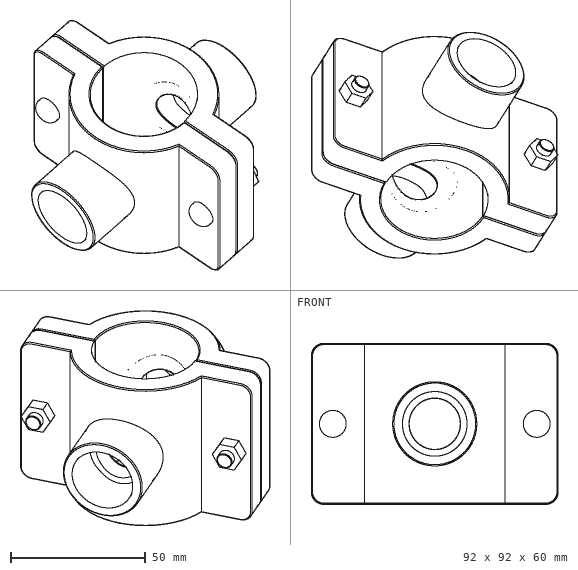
import cadquery as cq
CLAMP_WIDTH = 92.0
CLAMP_HEIGHT = 60.0
COLLAR_DIA = 55.9
BORE_DIA = 40.0
FLANGE_THICKNESS = 10.0
CORNER_RADIUS = 4.6
EDGE_CHAMFER = 0.5

NOZZLE_REACH = 46.0
NOZZLE_DIA = 31.4
NOZZLE_BORE_DIA = 24.1
NOZZLE_BORE_DEPTH = 19.0
PORT_DIA = 19.0
SKIN_THICKNESS = 0.5

BOLT_SPACING = 76.0
BOLT_DIA = 6.0
HEAD_DIA = 10.0
HEAD_HEIGHT = 4.0
HEAD_ROUNDING = 2.9
NUT_ACROSS_FLATS = 10.0
NUT_THICKNESS = 5.0
BOLT_PROTRUSION = 2.85
BOLT_TIP_CHAMFER = 0.3

HEX_CORNERS_PER_FLATS = 2 / 3**0.5


def y_cylinder(diameter, y_start, y_end, x=0.0):
    """Cylinder along Y between two Y positions, centred on Z = 0."""
    return (
        cq.Workplane("XZ", origin=(x, y_start, 0))
        .circle(diameter / 2)
        .extrude(y_start - y_end)
    )


def z_cylinder(diameter):
    """Cylinder about the Z axis, as tall as the clamp."""
    return cq.Workplane("XY", origin=(0, 0, -CLAMP_HEIGHT / 2)).circle(diameter / 2).extrude(CLAMP_HEIGHT)


def clamp_half(side, chamfer_bore):
    """Half of the collar and flanges on one side (+1 or -1) of the parting plane Y = 0."""
    flange = (
        cq.Workplane("XY")
        .box(CLAMP_WIDTH, FLANGE_THICKNESS, CLAMP_HEIGHT)
        .translate((0, side * FLANGE_THICKNESS / 2, 0))
        .edges("|Y")
        .fillet(CORNER_RADIUS)
    )
    half_space = (
        cq.Workplane("XY")
        .box(CLAMP_WIDTH, COLLAR_DIA, CLAMP_HEIGHT)
        .translate((0, side * COLLAR_DIA / 2, 0))
    )
    half = z_cylinder(COLLAR_DIA).intersect(half_space).union(flange)

    half = (
        half.faces("|Z or |Y")
        .edges("(not |Y) and ((not |Z) or <X or >X)")
        .chamfer(EDGE_CHAMFER)
        .cut(z_cylinder(BORE_DIA))
    )
    if chamfer_bore:
        bore_wall = half.faces(cq.NearestToPointSelector((0, 0, 0)))
        half = bore_wall.edges().chamfer(EDGE_CHAMFER)
    return half


def nozzle_blank(side):
    """Solid cylinder on one side, rooted on a curved face just outside the main bore."""
    blank = y_cylinder(NOZZLE_DIA, 0, side * NOZZLE_REACH)
    return blank.cut(z_cylinder(BORE_DIA + 2 * SKIN_THICKNESS))


def make_port():
    """Hole through the whole part along Y."""
    return y_cylinder(PORT_DIA, -NOZZLE_REACH, NOZZLE_REACH)


def make_nozzle(side):
    """Nozzle on one side (+1 or -1); the collar's round surface continues across its bore floor."""
    floor_y = side * (NOZZLE_REACH - NOZZLE_BORE_DEPTH)
    bore = y_cylinder(NOZZLE_BORE_DIA, floor_y, side * NOZZLE_REACH).cut(z_cylinder(COLLAR_DIA))
    tip = ">Y" if side > 0 else "<Y"
    return nozzle_blank(side).faces(tip).chamfer(EDGE_CHAMFER).cut(bore).cut(make_port())


def make_fastener(x):
    """Bolt and nut through both flanges at X = x, head on the -Y side."""
    nut_end = FLANGE_THICKNESS + NUT_THICKNESS
    shank = (
        y_cylinder(BOLT_DIA, -FLANGE_THICKNESS, nut_end + BOLT_PROTRUSION, x)
        .faces(">Y")
        .chamfer(BOLT_TIP_CHAMFER)
    )
    head = (
        y_cylinder(HEAD_DIA, -FLANGE_THICKNESS - HEAD_HEIGHT, -FLANGE_THICKNESS, x)
        .faces("<Y")
        .edges()
        .fillet(HEAD_ROUNDING)
    )
    nut = (
        cq.Workplane("XZ", origin=(x, FLANGE_THICKNESS, 0))
        .polygon(6, NUT_ACROSS_FLATS * HEX_CORNERS_PER_FLATS)
        .extrude(-NUT_THICKNESS)
    )
    return shank.union(head).union(nut)


def make_clamp():
    """Both halves with their fasteners as one solid, with a port and a socket for each nozzle."""
    clamp = clamp_half(-1, True).union(clamp_half(1, False))
    for x in (-BOLT_SPACING / 2, BOLT_SPACING / 2):
        clamp = clamp.union(make_fastener(x))
    for side in (-1, 1):
        clamp = clamp.cut(nozzle_blank(side))
    return clamp.cut(make_port())


clamp = make_clamp()
nozzles = [make_nozzle(side) for side in (-1, 1)]

result = cq.Compound.makeCompound([clamp.val(), *[nozzle.val() for nozzle in nozzles]])